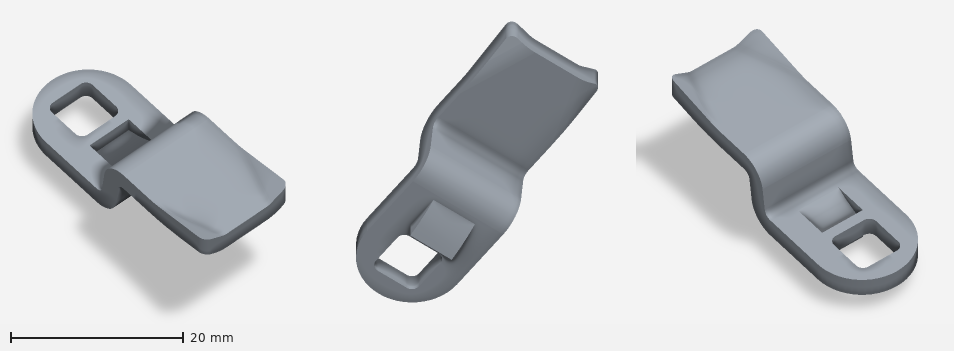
import cadquery as cq
import math

length = 34.7
width = 13.0
thickness = 2.5
rise = 7.05
inner_bend_radius = 1.0
lower_bend_x = 15.5
upper_bend_x = 20.4
corner_radius = 1.0

hole_center_x = 5.73
hole_size = 6.2
hole_corner_radius = 1.0

tongue_start_x = 10.2
tongue_end_x = 14.75
tongue_width = 5.97
tongue_drop = 2.0
tongue_bow = 0.2

crease_edge_x = 24.78
crease_angle = 19.4
ear_angle = 26.5
ear_bend_radius = 1.5

half_width = width / 2
outer_bend_radius = inner_bend_radius + thickness
upper_bottom = rise
upper_top = rise + thickness


def arc_point(center, radius, degrees):
    angle = math.radians(degrees)
    return (center[0] + radius * math.cos(angle), center[1] + radius * math.sin(angle))


def make_strip():
    """Constant-thickness Z profile, swept across the full width."""
    lower_center = (lower_bend_x, outer_bend_radius)
    upper_center = (upper_bend_x, upper_top - outer_bend_radius)
    dx = upper_center[0] - lower_center[0]
    dz = upper_center[1] - lower_center[1]
    radius_sum = inner_bend_radius + outer_bend_radius
    leg_angle = math.degrees(math.atan2(dz, dx) + math.asin(radius_sum / math.hypot(dx, dz)))

    def lower(radius, turn):
        return arc_point(lower_center, radius, turn - 90)

    def upper(radius, turn):
        return arc_point(upper_center, radius, turn + 90)

    half_turn = leg_angle / 2
    return (
        cq.Workplane("XZ")
        .moveTo(0, 0)
        .lineTo(*lower(outer_bend_radius, 0))
        .threePointArc(lower(outer_bend_radius, half_turn), lower(outer_bend_radius, leg_angle))
        .lineTo(*upper(inner_bend_radius, leg_angle))
        .threePointArc(upper(inner_bend_radius, half_turn), upper(inner_bend_radius, 0))
        .lineTo(length, upper_bottom)
        .lineTo(length, upper_top)
        .lineTo(*upper(outer_bend_radius, 0))
        .threePointArc(upper(outer_bend_radius, half_turn), upper(outer_bend_radius, leg_angle))
        .lineTo(*lower(inner_bend_radius, leg_angle))
        .threePointArc(lower(inner_bend_radius, half_turn), lower(inner_bend_radius, 0))
        .lineTo(0, thickness)
        .close()
        .extrude(half_width, both=True)
    )


def bend_up_ears(strip):
    """Replace the flat corners beyond each crease with bent ones."""
    angle = math.radians(crease_angle)
    overrun = width
    crease_plane = cq.Plane(
        origin=(crease_edge_x, half_width, 0),
        xDir=(math.sin(angle), math.cos(angle), 0),
        normal=(math.cos(angle), -math.sin(angle), 0),
    )
    center = (0, upper_top + ear_bend_radius)
    bottom_radius = ear_bend_radius + thickness
    ear_end = ear_angle - 90
    ear_middle = ear_angle / 2 - 90
    inner_end = arc_point(center, ear_bend_radius, ear_end)
    reach_x = overrun * math.cos(math.radians(ear_angle))
    reach_z = overrun * math.sin(math.radians(ear_angle))

    flat_corner = (
        cq.Workplane(crease_plane)
        .moveTo(0, upper_bottom)
        .rect(overrun, thickness, centered=False)
        .extrude(overrun, both=True)
    )
    ear = (
        cq.Workplane(crease_plane)
        .moveTo(0, upper_bottom)
        .threePointArc(
            arc_point(center, bottom_radius, ear_middle),
            arc_point(center, bottom_radius, ear_end),
        )
        .line(reach_x, reach_z)
        .lineTo(inner_end[0] + reach_x, inner_end[1] + reach_z)
        .lineTo(*inner_end)
        .threePointArc(arc_point(center, ear_bend_radius, ear_middle), (0, upper_top))
        .close()
        .extrude(overrun, both=True)
    )
    strip = strip.cut(flat_corner).cut(flat_corner.mirror("XZ"))
    return strip.union(ear).union(ear.mirror("XZ"))


def make_outline():
    """Plan outline: one full round end, one end with rounded corners."""
    return (
        cq.Workplane("XY")
        .moveTo(half_width, -half_width)
        .lineTo(length, -half_width)
        .lineTo(length, half_width)
        .lineTo(half_width, half_width)
        .threePointArc((0, 0), (half_width, -half_width))
        .close()
        .extrude(2 * upper_top)
        .edges("|Z and >X")
        .fillet(corner_radius)
    )


def make_tongue_segment(base_z):
    """Solid between a level line at base_z and the tongue's bowed slope."""
    return (
        cq.Workplane("XZ")
        .moveTo(tongue_end_x, base_z)
        .lineTo(tongue_start_x, base_z)
        .lineTo(tongue_start_x, base_z - tongue_drop)
        .sagittaArc((tongue_end_x, base_z), -tongue_bow)
        .close()
        .extrude(tongue_width / 2, both=True)
    )


def make_square_hole():
    return (
        cq.Workplane("XY")
        .center(hole_center_x, 0)
        .rect(hole_size, hole_size)
        .extrude(thickness)
        .edges("|Z")
        .fillet(hole_corner_radius)
    )


result = bend_up_ears(make_strip()).intersect(make_outline())
result = result.cut(make_square_hole())
result = result.cut(make_tongue_segment(thickness))
result = result.union(make_tongue_segment(0))